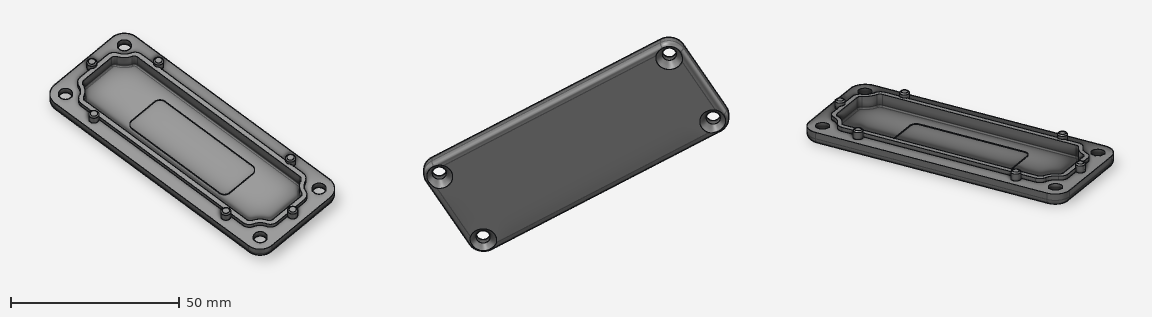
import cadquery as cq

length = 89.0
width = 35.0
plate_height = 4.3
corner_radius = 5.0
bottom_edge_radius = 2.1

hole_diameter = 4.2
countersink_diameter = 8.0
countersink_depth = 2.1
hole_x = 39.8
hole_y = 12.7

rim_rise = 1.3
rim_length = 80.5
rim_width = 26.0
rim_scoop_radius = 4.45
rim_edge_radius = 2.8
rim_top = plate_height + rim_rise

rim_wall = 1.6
scoop_wall = 1.3
cavity_edge_radius = 1.5
floor_thickness = 1.5
floor_fillet_radius = 0.5

label_length = 40.05
label_width = 14.2
label_corner_radius = 2.1
label_depth = 0.3

total_height = 7.0
pin_diameter = 3.0
pin_chamfer = 0.45
side_pin_x = 27.0
side_pin_y = 14.0
end_pin_x = 41.0

hole_points = [(x, y) for x in (-hole_x, hole_x) for y in (-hole_y, hole_y)]
side_pin_points = [(x, y) for x in (-side_pin_x, side_pin_x) for y in (-side_pin_y, side_pin_y)]
end_pin_points = [(-end_pin_x, 0), (end_pin_x, 0)]


def block(size_x, size_y, bottom, top):
    """Box centred on the Z axis, between two heights."""
    return cq.Workplane("XY").workplane(offset=bottom).rect(size_x, size_y).extrude(top - bottom)


def cylinders(points, diameter, bottom, top):
    """Vertical cylinders at the given points, between two heights."""
    base = cq.Workplane("XY").workplane(offset=bottom)
    return base.pushPoints(points).circle(diameter / 2).extrude(top - bottom)


def scooped_block(size_x, size_y, scoop_radius, edge_radius, bottom, top):
    """Block whose corners are cut back by arcs around the screw holes and then rounded."""
    scoops = cylinders(hole_points, 2 * scoop_radius, bottom, top)
    return block(size_x, size_y, bottom, top).cut(scoops).edges("|Z").fillet(edge_radius)


def make_plate():
    plate = block(length, width, 0, plate_height).edges("|Z").fillet(corner_radius)
    return plate.faces("<Z").edges().fillet(bottom_edge_radius)


def make_rim():
    return scooped_block(rim_length, rim_width, rim_scoop_radius, rim_edge_radius, plate_height, rim_top)


def make_cavity():
    cavity = scooped_block(
        rim_length - 2 * rim_wall,
        rim_width - 2 * rim_wall,
        rim_scoop_radius + scoop_wall,
        cavity_edge_radius,
        floor_thickness,
        rim_top,
    )
    return cavity.faces("<Z").edges().fillet(floor_fillet_radius)


def make_label_recess():
    recess = block(label_length, label_width, floor_thickness - label_depth, floor_thickness)
    return recess.edges("|Z").fillet(label_corner_radius)


def make_pins():
    pins = cylinders(side_pin_points + end_pin_points, pin_diameter, plate_height, total_height)
    return pins.faces(">Z").edges().chamfer(pin_chamfer)


def make_screw_holes():
    holes = cylinders(hole_points, hole_diameter, 0, plate_height)
    for x, y in hole_points:
        countersink = cq.Solid.makeCone(
            countersink_diameter / 2, hole_diameter / 2, countersink_depth, pnt=cq.Vector(x, y, 0)
        )
        holes = holes.union(cq.Workplane(obj=countersink))
    return holes


result = (
    make_plate()
    .union(make_rim())
    .cut(make_cavity())
    .cut(make_label_recess())
    .union(make_pins())
    .cut(make_screw_holes())
)